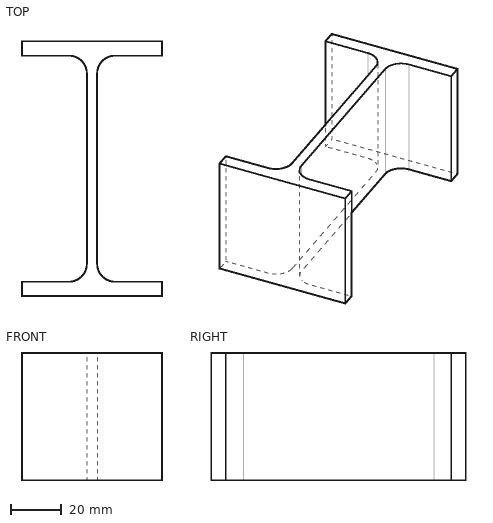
import cadquery as cq

depth = 100.0
flange_width = 55.0
length = 50.0
flange_thickness = 5.7
web_thickness = 4.1
root_radius = 7.0

clear_depth = depth - 2 * flange_thickness
beam = cq.Workplane("XY").box(web_thickness, clear_depth, length)

flange_offset = (depth - flange_thickness) / 2
for side in (-1, 1):
    flange = (
        cq.Workplane("XY")
        .box(flange_width, flange_thickness, length)
        .translate((0, side * flange_offset, 0))
    )
    beam = beam.union(flange)

root_zone = cq.selectors.BoxSelector(
    (-web_thickness, -flange_offset, -length),
    (web_thickness, flange_offset, length),
)
result = beam.edges("|Z").edges(root_zone).fillet(root_radius)